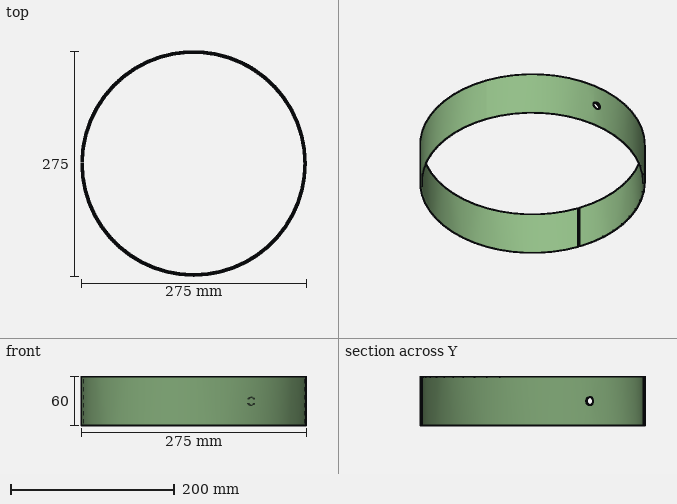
import cadquery as cq

outer_diameter = 275.0
height = 60.0
wall = 2.5
rim_round = 1.0

slit_width = 2.5

hole_diameter = 10.0
hole_angle = 59.0

outer_radius = outer_diameter / 2
inner_radius = outer_radius - wall


def make_ring():
    """Band centred on the origin, with all four rim edges rounded."""
    return (
        cq.Workplane("XY", origin=(0, 0, -height / 2))
        .circle(outer_radius)
        .circle(inner_radius)
        .extrude(height)
        .faces("|Z")
        .edges()
        .fillet(rim_round)
    )


def make_slit():
    """Full-height cutter reaching from the ring axis out to the -X side."""
    cutter = cq.Workplane("XY").box(outer_diameter, slit_width, height)
    return cutter.translate((-outer_radius, slit_width / 2, 0))


def make_hole():
    """Radial cutter that passes through one side of the wall only."""
    return (
        cq.Workplane("YZ")
        .circle(hole_diameter / 2)
        .extrude(outer_diameter)
        .rotate((0, 0, 0), (0, 0, 1), hole_angle)
    )


result = make_ring().cut(make_slit()).cut(make_hole())